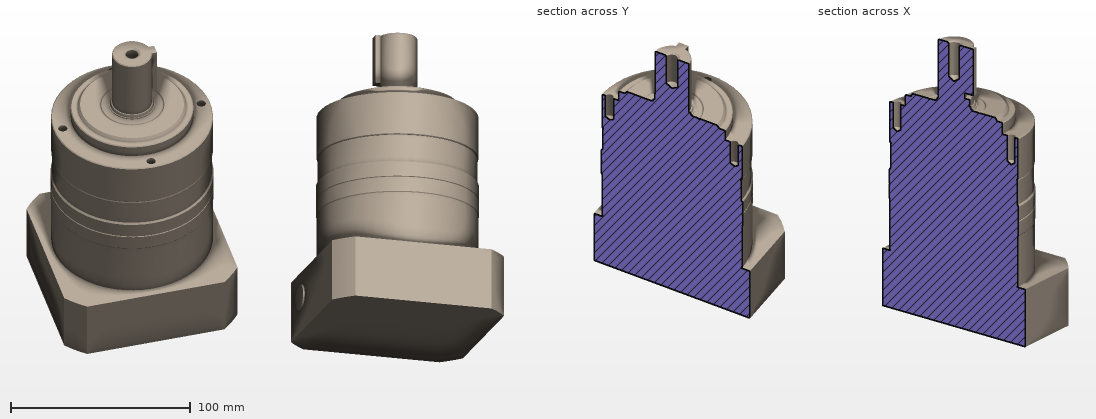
import cadquery as cq
import math

flange_width = 100.0
flange_height = 34.7
flange_corner_radius = 63.8

ring_bottom = 65.5
ring_split = 74.5
ring_top = 84.2
neck_top = 99.3
housing_top = 124.1
pilot_top = 130.9
cover_top = 132.8
collar_foot_top = 133.3
collar_top = 134.8
shaft_top = 170.0

housing_radius = 45.0
ring_radius = 45.4
neck_radius = 44.5
pilot_radius = 34.2
cover_base_radius = 30.5
cover_top_radius = 28.9
collar_foot_radius = 13.0
collar_base_radius = 12.2
collar_top_radius = 11.7
shaft_radius = 11.0

housing_edge = 0.5
ring_edge = 1.0
pilot_edge = 0.5
neck_edge = 0.8
groove_size = 0.3
shaft_edge = 0.5

seal_radius = 17.5
seal_half_width = 0.5
seal_depth = 0.5

shaft_bore_radius = 3.5
shaft_bore_depth = 20.4
shaft_countersink_radius = 4.8
shaft_countersink_depth = 0.7
drill_point_angle = 118.0

mount_hole_radius = 2.5
mount_hole_depth = 15.3
mount_circle_radius = 40.0
mount_hole_count = 4

key_size = 6.0
key_length = 28.0
key_seat = 7.6

plug_radius = 7.3
plug_x = 20.0
plug_z = 19.9
plug_thickness = 1.0


def make_flange():
    """Square block whose corners are turned off by a cylinder about Z."""
    square = cq.Workplane("XY").rect(flange_width, flange_width).extrude(flange_height)
    corner_limit = cq.Workplane("XY").circle(flange_corner_radius).extrude(flange_height)
    return square.intersect(corner_limit)


def make_turned_body():
    """Housing, pilot, grooved cover, collar and shaft, revolved about Z."""
    profile = [
        (0, 0),
        (housing_radius - groove_size, 0),
        (housing_radius - groove_size, flange_height + groove_size),
        (housing_radius, flange_height + groove_size),
        (housing_radius, ring_bottom),
        (ring_radius, ring_bottom + housing_edge),
        (ring_radius, ring_split - groove_size),
        (ring_radius - groove_size, ring_split),
        (ring_radius, ring_split + groove_size),
        (ring_radius, ring_top - ring_edge),
        (neck_radius, ring_top),
        (neck_radius, neck_top - neck_edge),
        (neck_radius - groove_size, neck_top),
        (housing_radius - housing_edge, neck_top),
        (housing_radius, neck_top + housing_edge),
        (housing_radius, housing_top - housing_edge),
        (housing_radius - housing_edge, housing_top),
        (pilot_radius, housing_top),
        (pilot_radius, pilot_top - pilot_edge),
        (pilot_radius - pilot_edge, pilot_top),
        (cover_base_radius, pilot_top),
        (cover_top_radius, cover_top),
        (seal_radius + seal_half_width, cover_top),
        (seal_radius, cover_top - seal_depth),
        (seal_radius - seal_half_width, cover_top),
        (collar_foot_radius, cover_top),
        (collar_foot_radius, collar_foot_top),
        (collar_base_radius, collar_foot_top),
        (collar_top_radius, collar_top),
        (shaft_radius, collar_top),
        (shaft_radius, shaft_top - shaft_edge),
        (shaft_radius - shaft_edge, shaft_top),
        (0, shaft_top),
    ]
    return cq.Workplane("XZ").polyline(profile).close().revolve(360, (0, 0), (0, 1))


def drilled_hole(radius, depth, mouth_z):
    """Cutter for a blind hole with a conical drill point, opening upward on the Z axis."""
    point_height = radius / math.tan(math.radians(drill_point_angle / 2))
    profile = [
        (0, mouth_z),
        (radius, mouth_z),
        (radius, mouth_z - depth),
        (0, mouth_z - depth - point_height),
    ]
    return cq.Workplane("XZ").polyline(profile).close().revolve(360, (0, 0), (0, 1))


def cut_shaft_bore(body):
    bore = drilled_hole(shaft_bore_radius, shaft_bore_depth, shaft_top)
    countersink = cq.Workplane("XY").add(
        cq.Solid.makeCone(
            shaft_bore_radius,
            shaft_countersink_radius,
            shaft_countersink_depth,
            pnt=cq.Vector(0, 0, shaft_top - shaft_countersink_depth),
        )
    )
    return body.cut(bore).cut(countersink)


def cut_mount_holes(body):
    hole = drilled_hole(mount_hole_radius, mount_hole_depth, housing_top)
    hole = hole.translate((mount_circle_radius, 0, 0))
    for index in range(mount_hole_count):
        angle = index * 360 / mount_hole_count
        body = body.cut(hole.rotate((0, 0, 0), (0, 0, 1), angle))
    return body


def add_key(body):
    """Cut the round-ended keyway, then seat the square-ended key flush with the shaft end."""
    key_bottom = shaft_top - key_length
    key = cq.Workplane("XY").box(key_size, key_size, key_length, centered=(True, False, False))
    key = key.translate((0, key_seat, key_bottom))
    keyway_end = cq.Workplane("XZ", origin=(0, key_seat, key_bottom)).circle(key_size / 2).extrude(-key_size)
    return body.cut(keyway_end).union(key)


def make_plug():
    face = cq.Workplane("XZ", origin=(plug_x, flange_width / 2, plug_z))
    return face.circle(plug_radius).extrude(-plug_thickness)


body = make_flange().union(make_turned_body())
body = cut_shaft_bore(body)
body = cut_mount_holes(body)
body = add_key(body)
result = body.union(make_plug())